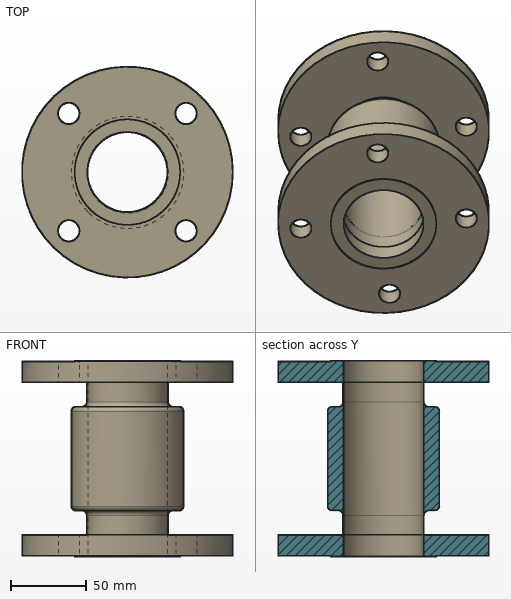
import cadquery as cq

length = 130.0
flange_diameter = 140.0
flange_thickness = 14.0
raised_face_diameter = 70.0
raised_face_height = 0.5

bolt_hole_count = 4
bolt_hole_diameter = 14.0
bolt_circle_radius = 55.0
bolt_start_angle = 45.0

neck_diameter = 54.0
body_diameter = 74.5
body_length = 69.0
body_edge_radius = 3.1
bore_diameter = 52.9


def cylinder(diameter, height):
    """Cylinder along Z, centred on the origin."""
    return cq.Workplane("XY").circle(diameter / 2).extrude(height).translate((0, 0, -height / 2))


def make_neck_and_body():
    """Neck with the body around it, its rims rounded and its shoulders filleted to the neck."""
    barrel = cylinder(neck_diameter, length).union(cylinder(body_diameter, body_length))
    body_edges = cq.selectors.BoxSelector(
        (-body_diameter, -body_diameter, -body_length / 2 - body_edge_radius),
        (body_diameter, body_diameter, body_length / 2 + body_edge_radius),
    )
    return barrel.edges("%CIRCLE").edges(body_edges).fillet(body_edge_radius)


def make_top_flange():
    """Flange with its raised sealing face and bolt holes, at the +Z end."""
    outer_face = length / 2 - raised_face_height
    inner_face = outer_face - flange_thickness
    flange = (
        cq.Workplane("XY", origin=(0, 0, inner_face))
        .circle(flange_diameter / 2)
        .extrude(flange_thickness)
    )
    raised_face = (
        cq.Workplane("XY", origin=(0, 0, outer_face))
        .circle(raised_face_diameter / 2)
        .extrude(raised_face_height)
    )
    bolt_holes = (
        cq.Workplane("XY", origin=(0, 0, inner_face))
        .polarArray(bolt_circle_radius, bolt_start_angle, 360, bolt_hole_count)
        .circle(bolt_hole_diameter / 2)
        .extrude(flange_thickness)
    )
    return flange.cut(bolt_holes).union(raised_face)


top_flange = make_top_flange()
bottom_flange = top_flange.mirror("XY")
bore = cylinder(bore_diameter, length)

result = make_neck_and_body().union(top_flange).union(bottom_flange).cut(bore).clean()